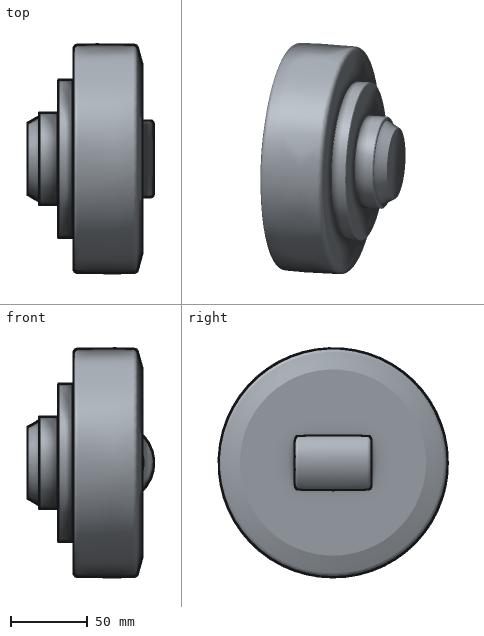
import cadquery as cq
import math

origin = (0, 0, 0)
full_turn = 360

hub_x = 7.5
flange_x = 20.0
neck_x = 29.8
roller_x = 30.0
roller_end_x = 75.0
overall_length = 82.5

tip_diameter = 46.4
tip_base_diameter = 55.0

hub_diameter = 60.0
hub_chamfer = 0.5
hub_root_flare = 0.4
flange_diameter = 103.0
neck_diameter = 101.4
flange_bevel_length = 0.4

roller_diameter = 149.0
roller_crown_radius = 500.0
roller_fillet = 3.0
rear_cone_length = 3.75
rear_face_diameter = 121.0

side_roller_diameter = 50.0
side_roller_width = 50.0
side_roller_crown_radius = 1000.0
side_roller_fillet = 2.5
side_recess_diameter = 36.0
side_recess_depth = 0.5


def crown_drop(crown_radius, distance):
    """Loss of tread radius at a distance along the axis from the middle of a crowned tread."""
    return crown_radius - math.sqrt(crown_radius**2 - distance**2)


def turn_about_x(profile):
    """Solid of revolution from a closed profile that lies against the X axis."""
    return profile.revolve(full_turn, origin, (1, 0, 0))


def make_pin_and_hub():
    """Conical tip and cylindrical hub, with a small flare where the hub meets the flange."""
    hub = hub_diameter / 2
    return turn_about_x(
        cq.Workplane("XY")
        .lineTo(0, tip_diameter / 2)
        .lineTo(hub_x, tip_base_diameter / 2)
        .lineTo(hub_x, hub - hub_chamfer)
        .lineTo(hub_x + hub_chamfer, hub)
        .lineTo(flange_x - hub_root_flare, hub)
        .lineTo(flange_x, hub + hub_root_flare)
        .lineTo(flange_x, 0)
        .close()
    )


def make_flange():
    """Flange with both rims bevelled down to the diameter of the short neck behind it."""
    rim = flange_diameter / 2
    neck = neck_diameter / 2
    return turn_about_x(
        cq.Workplane("XY")
        .moveTo(flange_x, 0)
        .lineTo(flange_x, neck)
        .lineTo(flange_x + flange_bevel_length, rim)
        .lineTo(neck_x - flange_bevel_length, rim)
        .lineTo(neck_x, neck)
        .lineTo(roller_x, neck)
        .lineTo(roller_x, 0)
        .close()
    )


def make_main_roller():
    """Crowned roller with rounded rims and a conical border around its rear face."""
    shoulder_x = roller_end_x - rear_cone_length
    middle_x = (roller_x + shoulder_x) / 2
    middle_radius = roller_diameter / 2
    rim_radius = middle_radius - crown_drop(roller_crown_radius, middle_x - roller_x)
    roller = turn_about_x(
        cq.Workplane("XY")
        .moveTo(roller_x, 0)
        .lineTo(roller_x, rim_radius)
        .threePointArc((middle_x, middle_radius), (shoulder_x, rim_radius))
        .lineTo(roller_end_x, rear_face_diameter / 2)
        .lineTo(roller_end_x, 0)
        .close()
    )
    rims = roller.edges(cq.selectors.RadiusNthSelector(-2))
    return rims.fillet(roller_fillet)


def make_side_roller():
    """Crowned roller across the rear face, with rounded rims and a shallow recess in each end."""
    centre_x = overall_length - side_roller_diameter / 2
    half_width = side_roller_width / 2
    middle_radius = side_roller_diameter / 2
    rim_radius = middle_radius - crown_drop(side_roller_crown_radius, half_width)
    roller = (
        cq.Workplane("XY", origin=(centre_x, 0, 0))
        .moveTo(0, -half_width)
        .lineTo(rim_radius, -half_width)
        .threePointArc((middle_radius, 0), (rim_radius, half_width))
        .lineTo(0, half_width)
        .close()
        .revolve(full_turn, origin, (0, 1, 0))
        .edges(cq.selectors.RadiusNthSelector(0))
        .fillet(side_roller_fillet)
    )
    for end in ("<Y", ">Y"):
        end_face = roller.faces(end).workplane(centerOption="CenterOfMass")
        roller = end_face.circle(side_recess_diameter / 2).cutBlind(-side_recess_depth)
    return roller


result = (
    make_main_roller()
    .union(make_flange())
    .union(make_pin_and_hub())
    .union(make_side_roller())
)